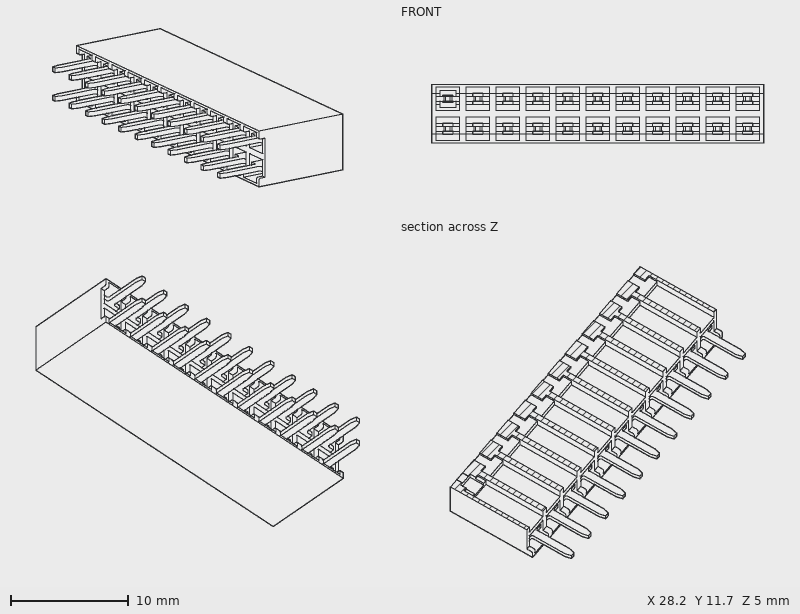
import cadquery as cq
import math

housing_length = 28.2
housing_depth = 8.5
housing_height = 5.0
pin_count = 11
end_margin = 1.38
pitch = (housing_length - 2 * end_margin) / (pin_count - 1)

channel_depth = 0.6
lip_thickness = 0.75
lip_edge_radius = 0.17

pocket_size = 2.0
pocket_end = 6.48
slot_height = 0.93
slot_end = 7.33
window_width = 0.85

first_recess_width = 1.35
first_recess_height = 1.45
first_recess_end = 7.9
first_window_height = 0.6

contact_thickness = 0.42
plate_front = 0.82
pin_width = 0.68
pin_tip_width = 0.4
pin_tip_length = 0.6
pin_length = 3.19
pin_root_radius = 0.17

column_places = [(i - (pin_count - 1) / 2) * pitch for i in range(pin_count)]
row_places = [-pitch / 2, pitch / 2]
positions = [(x, z) for x in column_places for z in row_places]
first_position = (column_places[0], row_places[-1])


def block(x, z, width, height, y_start, y_end):
    """Box centred on (x, z) in cross-section, running from y_start to y_end."""
    depth = y_end - y_start
    return cq.Workplane("XY").box(width, depth, height).translate((x, y_start + depth / 2, z))


def make_housing():
    """Outer block with the channel along its mouth and rounded lip edges."""
    outer = block(0, 0, housing_length, housing_height, 0, housing_depth)
    channel_height = housing_height - 2 * lip_thickness
    channel = block(0, 0, housing_length, channel_height, 0, channel_depth)
    half_channel = channel_height / 2
    lip_edges = cq.selectors.BoxSelector(
        (-housing_length, -lip_edge_radius, -half_channel - lip_edge_radius),
        (housing_length, lip_edge_radius, half_channel + lip_edge_radius),
    )
    return outer.cut(channel).edges("|X").edges(lip_edges).fillet(lip_edge_radius)


def make_cavity(x, z):
    """Square pocket, flat slot in its floor and a window through the rear wall."""
    pocket = block(x, z, pocket_size, pocket_size, 0, pocket_end)
    slot = block(x, z, pocket_size, slot_height, pocket_end, slot_end)
    if (x, z) == first_position:
        recess = block(x, z, first_recess_width, first_recess_height, pocket_end, first_recess_end)
        window = block(x, z, window_width, first_window_height, first_recess_end, housing_depth)
        return pocket.union(slot).union(recess).union(window)
    window = block(x, z, window_width, slot_height, slot_end, housing_depth)
    return pocket.union(slot).union(window)


def make_contact(x, z):
    """Plate resting on both pocket walls, narrowing through root fillets to a tapered pin."""
    half_plate = pocket_size / 2
    half_pin = pin_width / 2
    half_tip = pin_tip_width / 2
    half_root = half_pin + pin_root_radius
    root_end = plate_front - pin_root_radius
    tip_end = -pin_length
    taper_start = tip_end + pin_tip_length
    arc_inset = pin_root_radius * (1 - math.cos(math.pi / 4))
    outline = (
        cq.Workplane("XY")
        .moveTo(-half_plate, pocket_end)
        .lineTo(-half_plate, plate_front)
        .lineTo(-half_root, plate_front)
        .threePointArc((-half_pin - arc_inset, plate_front - arc_inset), (-half_pin, root_end))
        .lineTo(-half_pin, taper_start)
        .lineTo(-half_tip, tip_end)
        .lineTo(half_tip, tip_end)
        .lineTo(half_pin, taper_start)
        .lineTo(half_pin, root_end)
        .threePointArc((half_pin + arc_inset, plate_front - arc_inset), (half_root, plate_front))
        .lineTo(half_plate, plate_front)
        .lineTo(half_plate, pocket_end)
        .close()
    )
    return outline.extrude(contact_thickness / 2, both=True).translate((x, 0, z))


result = make_housing()
for x, z in positions:
    result = result.cut(make_cavity(x, z))
for x, z in positions:
    result = result.union(make_contact(x, z))